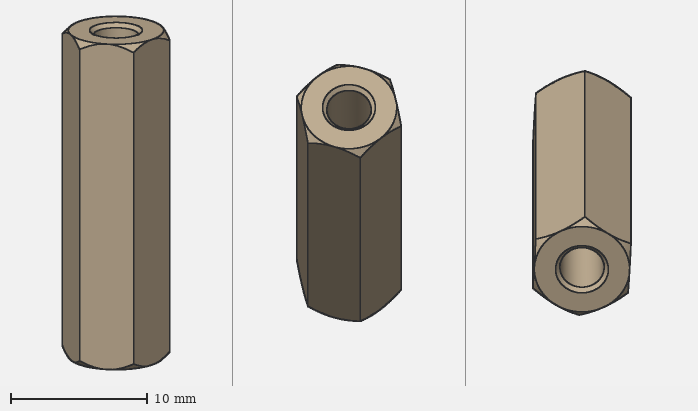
import cadquery as cq
import math

length = 25.0
across_flats = 7.0
across_corners = across_flats / math.cos(math.radians(30))

chamfer_angle = 45.0
chamfer_width = (across_corners - across_flats) / 2
chamfer_height = chamfer_width * math.tan(math.radians(chamfer_angle))

hole_diameter = 3.25
hole_depth = 10.0
drill_point_angle = 118.0
countersink_diameter = 3.88
countersink_angle = 90.0


def hex_body():
    return cq.Workplane("XY").polygon(6, across_corners).extrude(length)


def chamfer_envelope():
    """Round bar through the hex corners, with both ends chamfered."""
    bar = cq.Workplane("XY").circle(across_corners / 2).extrude(length)
    return bar.faces("|Z").edges().chamfer(chamfer_height, chamfer_width)


def blind_hole():
    """Revolved cutter for the top end: countersink, straight bore and drill point."""
    hole_radius = hole_diameter / 2
    countersink_radius = countersink_diameter / 2
    countersink_depth = (countersink_radius - hole_radius) / math.tan(math.radians(countersink_angle / 2))
    point_height = hole_radius / math.tan(math.radians(drill_point_angle / 2))
    bore_end = length - hole_depth
    profile = [
        (0, length),
        (countersink_radius, length),
        (hole_radius, length - countersink_depth),
        (hole_radius, bore_end),
        (0, bore_end - point_height),
    ]
    return cq.Workplane("XZ").polyline(profile).close().revolve(360, (0, 0, 0), (0, 1, 0))


top_hole = blind_hole()
bottom_hole = top_hole.mirror("XY", (0, 0, length / 2))

result = hex_body().intersect(chamfer_envelope()).cut(top_hole).cut(bottom_hole)